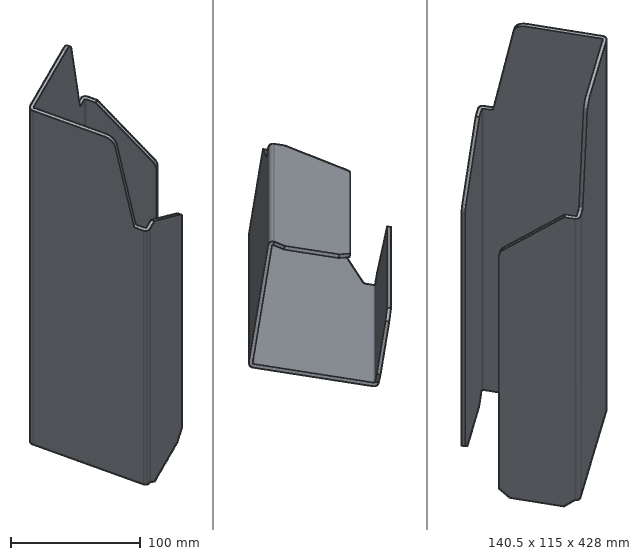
import cadquery as cq
import math

width = 140.5
depth = 115.0
height = 428.0

thickness = 3.0
bend_radius = 4.0

tab_height = 9.0
shoulder_z = 327.5

taper_base = 90.0
taper_top = 72.5
top_corner_radius = 10.0
shoulder_radius = 2.0

flange_top_chamfer = 51.5
flange_corner_radius = 10.0
tab_chamfer = 8.5

corner_loss = bend_radius * (math.sqrt(2) - 1)
wall_length = (width / 2 + corner_loss) * math.sqrt(2)
flange_length = (depth + corner_loss) * math.sqrt(2) - wall_length
wall_end = wall_length - bend_radius


def main_wall():
    """Flat wall along +X between its two bends, tapered above the shoulder."""
    wall = (
        cq.Workplane("XZ")
        .moveTo(bend_radius, tab_height)
        .lineTo(wall_end, tab_height)
        .lineTo(wall_end, shoulder_z)
        .lineTo(taper_base, shoulder_z)
        .lineTo(taper_top, height)
        .lineTo(bend_radius, height)
        .close()
        .extrude(-thickness)
    )
    middle = thickness / 2
    wall = wall.edges(cq.NearestToPointSelector((taper_top, middle, height))).fillet(top_corner_radius)
    return wall.edges(cq.NearestToPointSelector((taper_base, middle, shoulder_z))).fillet(shoulder_radius)


def return_flange():
    """Flat flange along +Y at the far end of the main wall, with a bottom tab."""
    chamfer_base_z = shoulder_z - flange_top_chamfer
    flange = (
        cq.Workplane("YZ", origin=(wall_length - thickness, 0, 0))
        .moveTo(bend_radius, tab_height)
        .lineTo(bend_radius + tab_chamfer, 0)
        .lineTo(flange_length - tab_chamfer, 0)
        .lineTo(flange_length, tab_chamfer)
        .lineTo(flange_length, chamfer_base_z)
        .lineTo(flange_length - flange_top_chamfer, shoulder_z)
        .lineTo(bend_radius, shoulder_z)
        .close()
        .extrude(thickness)
    )
    corner = (wall_length - thickness / 2, flange_length, chamfer_base_z)
    return flange.edges(cq.NearestToPointSelector(corner)).fillet(flange_corner_radius)


def bend(center_x, side, top_z):
    """Quarter-ring bend; side is -1 to curve toward -X or 1 toward +X."""
    bend_height = top_z - tab_height
    ring = (
        cq.Workplane("XY", origin=(center_x, bend_radius, tab_height))
        .circle(bend_radius)
        .circle(bend_radius - thickness)
        .extrude(bend_height)
    )
    quadrant = (
        cq.Workplane("XY", origin=(center_x, bend_radius, tab_height))
        .rect(side * bend_radius, -bend_radius, centered=False)
        .extrude(bend_height)
    )
    return ring.intersect(quadrant)


def turn_to_diagonal(body):
    return body.rotate((0, 0, 0), (0, 0, 1), 45)


side_panel = main_wall().union(bend(wall_end, 1, shoulder_z)).union(return_flange())
right_side = turn_to_diagonal(side_panel)
front_bend = turn_to_diagonal(bend(bend_radius, -1, height))
result = front_bend.union(right_side).union(right_side.mirror("YZ"))